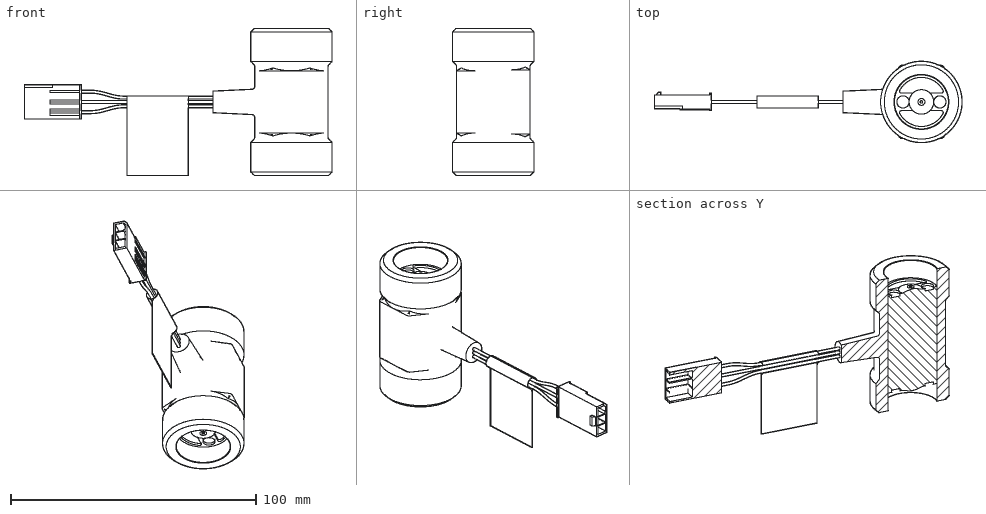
import cadquery as cq
import math


LENGTH = 60.0
BODY_R = 30.0 / 2
THREAD_R = 33.25 / 2
BORE_R = 22.0 / 2
BORE_CHAMFER = 0.2
THREAD_CHAMFER = 1.5
THREAD_INNER_Z = 16.5
NECK_FILLET = 1.0

PAD_CORNER_R = 1.75
FRONT_PAD_HALF_LENGTH = 12.7
REAR_PAD_HALF_LENGTH = 13.1
PAD_END_HEIGHT = 1.2
PAD_END_TAPER = 60

BOOT_END_X = -32.0
BOOT_END_R = 8.9 / 2
BOOT_BASE_R = 10.5 / 2
BOOT_FILLET = 1.0

INSERT_FACE_Z = 22.0
RELIEF_DEPTH = 1.0
HUB_R = 5.0
HUB_TIP_R = 1.4
HUB_HEIGHT = 1.2
AXLE_HOLE_R = 1.0 / 2
AXLE_HOLE_DEPTH = 0.3
ROUND_POCKET_R = 5.0 / 2
ROUND_POCKET_X = 7.5
SLOT_OUTER_R = 10.0
SLOT_FLAT_Y = 3.55
SLOT_CORNER_R = 0.8

WIRE_R = 1.3 / 2
CIRCUIT_PITCH = 4.18
CIRCUITS = (1, 0, -1)
BEND_START_X = -82.0
BEND_END_X = -68.0

PLUG_FRONT_X = -108.835
PLUG_BACK_X = -85.55
PLUG_WIDTH = 5.65
PLUG_HEIGHT = 14.0
FLANGE_THICKNESS = 0.75
FLANGE_WIDTH = 7.15
CAVITY_WIDTH = 4.2
CAVITY_HEIGHT = 3.8
CAVITY_DEPTH = 10.0
CAVITY_KEY_CHAMFER = 0.8
KEY_CHAMFER = 1.1
KEY_CHAMFER_LENGTH = 11.5
RIB_START_X = -98.4
RIB_R = 0.43
LATCH_START_X = -108.1
LATCH_LENGTH = 1.95
LATCH_HEIGHT = 1.15
LATCH_SLOPE = 0.9

LABEL_START_X = -67.0
LABEL_LENGTH = 25.0
LABEL_R = 5.0 / 2
LABEL_WALL = 0.1
FLAG_THICKNESS = 0.3
FLAG_BOTTOM_Z = -LENGTH / 2
FLAG_FILLET = 2.0

WIRE_PITCH = LABEL_R - LABEL_WALL - WIRE_R


def make_barrel():
    """Turned body with a chamfered stub at each end, before boring."""
    end_z = LENGTH / 2
    rim_r = THREAD_R - THREAD_CHAMFER
    neck_z = THREAD_INNER_Z - (THREAD_R - BODY_R)
    profile = (
        cq.Workplane("XZ")
        .moveTo(0, -end_z)
        .lineTo(rim_r, -end_z)
        .lineTo(THREAD_R, -end_z + THREAD_CHAMFER)
        .lineTo(THREAD_R, -THREAD_INNER_Z)
        .lineTo(BODY_R, -neck_z)
        .lineTo(BODY_R, neck_z)
        .lineTo(THREAD_R, THREAD_INNER_Z)
        .lineTo(THREAD_R, end_z - THREAD_CHAMFER)
        .lineTo(rim_r, end_z)
        .lineTo(0, end_z)
        .close()
    )
    barrel = profile.revolve(360, (0, 0, 0), (0, 1, 0))
    neck = cq.selectors.BoxSelector(
        (-THREAD_R, -THREAD_R, -THREAD_INNER_Z + NECK_FILLET),
        (THREAD_R, THREAD_R, THREAD_INNER_Z - NECK_FILLET),
    )
    return barrel.edges("%CIRCLE").edges(neck).fillet(NECK_FILLET)


def make_pad(side, half_length):
    """Three hexagon flats, tangent to the body, with sloping run-outs at both ends."""
    half_turn = math.pi / 6
    corner_x = BODY_R * math.tan(half_turn)
    tangent_x = BODY_R * math.cos(half_turn)
    tangent_y = BODY_R * math.sin(half_turn)
    points = [
        (0, 0),
        (tangent_x, side * tangent_y),
        (corner_x, side * BODY_R),
        (-corner_x, side * BODY_R),
        (-tangent_x, side * tangent_y),
    ]
    prism = cq.Workplane("XY").polyline(points).close().extrude(half_length)
    corners = prism.edges("|Z").edges(">Y" if side > 0 else "<Y")
    prism = corners.fillet(PAD_CORNER_R)
    end_outline = prism.faces(">Z").wires().toPending().workplane()
    run_out = end_outline.extrude(PAD_END_HEIGHT, taper=PAD_END_TAPER, combine=False)
    half = prism.union(run_out)
    return half.union(half.mirror("XY"))


def make_boot():
    """Tapered cable outlet, running into the middle of the body."""
    length = -BOOT_END_X
    slope = (BOOT_BASE_R - BOOT_END_R) / (length - BODY_R)
    axis_r = BOOT_END_R + slope * length
    tip = cq.Vector(BOOT_END_X, 0, 0)
    toward_axis = cq.Vector(1, 0, 0)
    return cq.Workplane(cq.Solid.makeCone(BOOT_END_R, axis_r, length, tip, toward_axis))


def make_housing():
    """Bored body with the cable boot and a pad on each side."""
    joint = cq.selectors.BoxSelector(
        (-THREAD_R, -BOOT_BASE_R, -BOOT_BASE_R),
        (-BORE_R, BOOT_BASE_R, BOOT_BASE_R),
    )
    housing = make_barrel().union(make_boot())
    housing = housing.edges(joint).fillet(BOOT_FILLET)
    housing = housing.union(make_pad(-1, FRONT_PAD_HALF_LENGTH))
    housing = housing.union(make_pad(1, REAR_PAD_HALF_LENGTH))
    bore = cq.Workplane("XY").circle(BORE_R).extrude(LENGTH / 2, both=True)
    housing = housing.cut(bore)
    bore_rims = housing.faces("<Z or >Z").edges(cq.selectors.RadiusNthSelector(0))
    return bore_rims.chamfer(BORE_CHAMFER)


def make_slot_pocket(side):
    """D-shaped pocket between a chord and the outer arc, on one side of the hub."""
    chord_x = math.sqrt(SLOT_OUTER_R**2 - SLOT_FLAT_Y**2)
    pocket = (
        cq.Workplane("XY")
        .workplane(offset=INSERT_FACE_Z - RELIEF_DEPTH)
        .moveTo(-chord_x, side * SLOT_FLAT_Y)
        .lineTo(chord_x, side * SLOT_FLAT_Y)
        .threePointArc((0, side * SLOT_OUTER_R), (-chord_x, side * SLOT_FLAT_Y))
        .close()
        .extrude(RELIEF_DEPTH)
    )
    return pocket.edges("|Z").fillet(SLOT_CORNER_R)


def make_insert():
    """Plug in the bore; both ends carry the same pockets and conical hub."""
    half = cq.Workplane("XY").circle(BORE_R).extrude(INSERT_FACE_Z)
    for side in (-1, 1):
        half = half.cut(make_slot_pocket(side))
    face = cq.Workplane("XY").workplane(offset=INSERT_FACE_Z)
    round_pockets = (
        face.pushPoints([(-ROUND_POCKET_X, 0), (ROUND_POCKET_X, 0)])
        .circle(ROUND_POCKET_R)
        .extrude(-RELIEF_DEPTH)
    )
    hub_base = face.circle(HUB_R).extrude(-RELIEF_DEPTH)
    hub_cone = cq.Workplane(
        cq.Solid.makeCone(HUB_R, HUB_TIP_R, HUB_HEIGHT, cq.Vector(0, 0, INSERT_FACE_Z))
    )
    hub_tip = face.workplane(offset=HUB_HEIGHT)
    axle_hole = hub_tip.circle(AXLE_HOLE_R).extrude(-AXLE_HOLE_DEPTH)
    half = half.cut(round_pockets).union(hub_base).union(hub_cone).cut(axle_hole)
    return half.union(half.mirror("XY"))


def make_wire(circuit):
    """Wire from the boot, straight through the label, then fanned out to its circuit."""
    bundle_z = circuit * WIRE_PITCH
    plug_z = circuit * CIRCUIT_PITCH
    path = cq.Workplane("XZ").moveTo(BOOT_END_X, bundle_z).lineTo(BEND_END_X, bundle_z)
    if circuit:
        path = path.spline(
            [(BEND_START_X, plug_z)], tangents=[(-1, 0), (-1, 0)], includeCurrent=True
        )
    path = path.lineTo(PLUG_BACK_X, plug_z)
    start = cq.Workplane("YZ", origin=(BOOT_END_X, 0, bundle_z))
    return start.circle(WIRE_R).sweep(path)


def make_plug():
    """Three-circuit connector shell."""
    length = PLUG_BACK_X - PLUG_FRONT_X
    side_y = PLUG_WIDTH / 2
    plug = (
        cq.Workplane("XY")
        .box(length, PLUG_WIDTH, PLUG_HEIGHT, centered=(False, True, True))
        .translate((PLUG_FRONT_X, 0, 0))
    )
    flange = (
        cq.Workplane("XY")
        .box(FLANGE_THICKNESS, FLANGE_WIDTH, PLUG_HEIGHT, centered=(False, True, True))
        .translate((PLUG_BACK_X - FLANGE_THICKNESS, 0, 0))
    )
    key_cut = (
        cq.Workplane("YZ", origin=(PLUG_FRONT_X, 0, 0))
        .moveTo(-side_y, PLUG_HEIGHT / 2)
        .lineTo(-side_y + KEY_CHAMFER, PLUG_HEIGHT / 2)
        .lineTo(-side_y, PLUG_HEIGHT / 2 - KEY_CHAMFER)
        .close()
        .extrude(KEY_CHAMFER_LENGTH)
    )
    latch = (
        cq.Workplane("XY", origin=(LATCH_START_X, side_y, 0))
        .lineTo(LATCH_SLOPE, LATCH_HEIGHT)
        .lineTo(LATCH_LENGTH, LATCH_HEIGHT)
        .lineTo(LATCH_LENGTH, 0)
        .close()
        .extrude(CIRCUIT_PITCH / 2, both=True)
    )
    plug = plug.cut(key_cut).union(flange).union(latch)

    for circuit in CIRCUITS:
        cavity = (
            cq.Workplane("XY")
            .box(CAVITY_DEPTH, CAVITY_WIDTH, CAVITY_HEIGHT, centered=(False, True, True))
            .translate((PLUG_FRONT_X, 0, circuit * CIRCUIT_PITCH))
        )
        if circuit == CIRCUITS[0]:
            cavity = cavity.edges("|X and <Y").chamfer(CAVITY_KEY_CHAMFER)
        plug = plug.cut(cavity)

    for rib_count, circuit in enumerate(CIRCUITS, start=1):
        for rib in range(rib_count):
            rib_z = circuit * CIRCUIT_PITCH + (rib - (rib_count - 1) / 2) * 2 * RIB_R
            ridge = (
                cq.Workplane("YZ", origin=(RIB_START_X, -side_y, rib_z))
                .circle(RIB_R)
                .extrude(PLUG_BACK_X - RIB_START_X)
            )
            plug = plug.union(ridge)
    return plug


def make_cable():
    """Connector together with its three wires."""
    cable = make_plug()
    for circuit in CIRCUITS:
        cable = cable.union(make_wire(circuit))
    return cable


def make_label():
    """Sleeve around the wires with a flat flag hanging below, blended by concave fillets."""
    half_flag = FLAG_THICKNESS / 2
    blend_y = half_flag + FLAG_FILLET
    blend_z = -math.sqrt((LABEL_R + FLAG_FILLET) ** 2 - blend_y**2)
    sleeve_share = LABEL_R / (LABEL_R + FLAG_FILLET)
    sleeve_y = blend_y * sleeve_share
    sleeve_z = blend_z * sleeve_share
    mid_angle = math.atan2(-blend_z, blend_y) / 2
    mid_y = blend_y - FLAG_FILLET * math.cos(mid_angle)
    mid_z = blend_z + FLAG_FILLET * math.sin(mid_angle)
    label = (
        cq.Workplane("YZ", origin=(LABEL_START_X, 0, 0))
        .moveTo(-half_flag, FLAG_BOTTOM_Z)
        .lineTo(-half_flag, blend_z)
        .threePointArc((-mid_y, mid_z), (-sleeve_y, sleeve_z))
        .threePointArc((-LABEL_R, 0), (0, LABEL_R))
        .threePointArc((LABEL_R, 0), (sleeve_y, sleeve_z))
        .threePointArc((mid_y, mid_z), (half_flag, blend_z))
        .lineTo(half_flag, FLAG_BOTTOM_Z)
        .close()
        .extrude(LABEL_LENGTH)
    )
    sleeve_end = cq.Workplane("YZ", origin=(LABEL_START_X, 0, 0))
    inside = sleeve_end.circle(LABEL_R - LABEL_WALL).extrude(LABEL_LENGTH)
    return label.cut(inside)


housing = make_housing()
insert = make_insert()
cable = make_cable()
label = make_label()

result = cq.Compound.makeCompound(
    [
        housing.solids().val(),
        insert.solids().val(),
        cable.solids().val(),
        label.solids().val(),
    ]
)